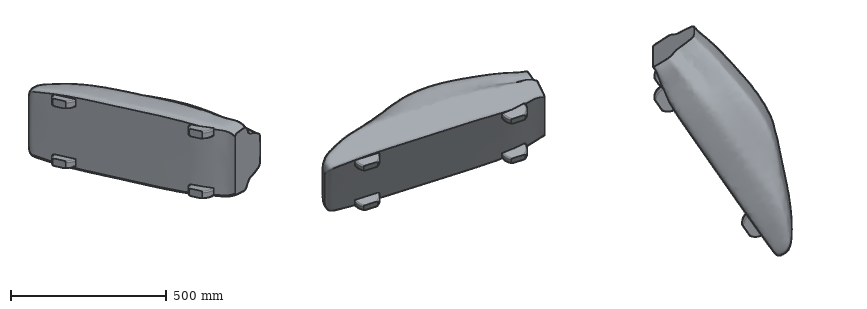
import cadquery as cq


STATIONS = [
    (0.0, 11.5, 32.0, 29.0, 87.0, 77.0),
    (3.0, 8.0, 42.0, 38.5, 100.0, 88.5),
    (11.0, 3.0, 55.0, 49.0, 114.0, 98.5),
    (21.0, 1.0, 65.0, 58.5, 119.0, 103.0),
    (46.0, 0.0, 81.0, 74.0, 124.0, 108.0),
    (87.0, 0.0, 102.0, 94.0, 128.5, 111.5),
    (165.0, 0.0, 137.0, 118.5, 134.0, 115.5),
    (243.0, 0.0, 169.0, 131.0, 135.5, 118.0),
    (321.0, 0.0, 201.5, 137.0, 135.5, 118.5),
    (365.0, 0.0, 215.0, 139.0, 135.5, 118.5),
    (405.0, 0.0, 221.0, 140.0, 136.0, 118.5),
    (447.0, 0.0, 223.0, 140.0, 136.0, 118.5),
    (532.5, 0.0, 218.5, 140.0, 135.5, 115.0),
    (615.5, 1.0, 209.0, 135.5, 131.5, 104.0),
    (700.0, 11.5, 196.0, 125.5, 125.0, 90.0),
    (769.0, 22.0, 182.0, 114.0, 108.5, 78.5),
]

SIDE_WALL = [(0.97, 0.07), (0.99, 0.2), (1.0, 0.45), (0.99, 0.72)]
CABIN = [(0.94, 0.2), (0.89, 0.42), (0.79, 0.72), (0.66, 0.94), (0.5, 0.98)]
FLOOR_WIDTH = 0.91

WHEEL_RADIUS = 43.0
WHEEL_WIDTH = 26.0
WHEEL_EDGE_FILLET = 5.0
WHEEL_OFFSET = 104.0
GROUND = -32.0
FRONT_AXLE = (141.5, 3.0)
REAR_AXLE = (655.0, 3.0)


def section(x, floor, roof, shoulder, half_width, shoulder_width):
    """Closed wire across the body: a straight floor and one curve over the sides and roof."""
    floor_edge = FLOOR_WIDTH * half_width
    side = [(floor, floor_edge)]
    for width, rise in SIDE_WALL:
        side.append((floor + rise * (shoulder - floor), width * half_width))
    side.append((shoulder, shoulder_width))
    for width, rise in CABIN:
        side.append((shoulder + rise * (roof - shoulder), width * shoulder_width))
    other_side = [(y, -z) for y, z in reversed(side)]
    return (
        cq.Workplane("YZ", origin=(x, 0, 0))
        .moveTo(floor, -floor_edge)
        .lineTo(floor, floor_edge)
        .spline(side[1:] + [(roof, 0)] + other_side, includeCurrent=True)
        .close()
        .val()
    )


def make_body():
    """Smooth loft through every station from nose to tail."""
    return cq.Workplane(cq.Solid.makeLoft([section(*station) for station in STATIONS]))


def make_wheel(axle, z):
    """Disc about a Z axle, rounded at the rim and flattened where it meets the ground."""
    x, y = axle
    disc = (
        cq.Workplane("XY", origin=(x, y, z))
        .circle(WHEEL_RADIUS)
        .extrude(WHEEL_WIDTH / 2, both=True)
        .edges()
        .fillet(WHEEL_EDGE_FILLET)
    )
    below_ground = (
        cq.Workplane("XY")
        .box(2 * WHEEL_RADIUS, WHEEL_RADIUS, WHEEL_WIDTH)
        .translate((x, GROUND - WHEEL_RADIUS / 2, z))
    )
    return disc.cut(below_ground)


result = make_body()
for axle in (FRONT_AXLE, REAR_AXLE):
    for z in (-WHEEL_OFFSET, WHEEL_OFFSET):
        result = result.union(make_wheel(axle, z))